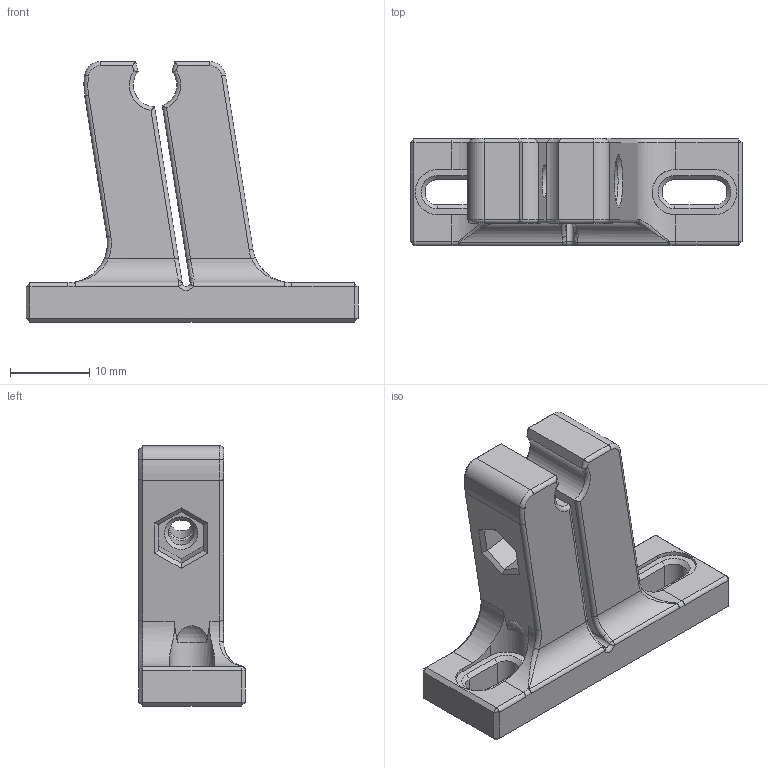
import cadquery as cq
import math

BASE_LENGTH = 42.0
BASE_DEPTH = 13.5
BASE_HEIGHT = 5.0
EDGE_BREAK = 0.5
CHAMFER_TAPER_DEG = 45

LEAN_DEG = 8.95
AXIS_FOOT_X = 0.05
POST_HALF_WIDTH = 9.0
POST_DEPTH = 10.75
TOTAL_HEIGHT = 32.95
CROWN_RADIUS = 2.0
SIDE_FILLET = 5.0
FRONT_FILLET = 3.0

BORE_HEIGHT = 30.0
BORE_RADIUS = 2.75
MOUTH_HALF_WIDTH = 2.15
MOUTH_FLARE_DEG = 15.0
SLIT_WIDTH = 1.0

SCREW_POSITION = 22.95
SCREW_DIAMETER = 3.2
NUT_SIDES = 6
NUT_ACROSS_FLATS = 5.7
NUT_DEPTH = 4.0
HEAD_DIAMETER = 5.7
HEAD_DEPTH = 2.0

SLOT_OFFSET = 15.0
SLOT_TRAVEL = 5.0
SLOT_WIDTH = SCREW_DIAMETER
RECESS_WIDTH = HEAD_DIAMETER
RECESS_FLOOR = 4.5
DOME_HEIGHT = 8.0

BACK = BASE_DEPTH / 2
FRONT = -BASE_DEPTH / 2
POST_FRONT = BACK - POST_DEPTH
POST_MIDDLE = (BACK + POST_FRONT) / 2

LEAN = math.radians(LEAN_DEG)
SIDE_OFFSET = POST_HALF_WIDTH / math.cos(LEAN)
NUT_CORNER_RATIO = 1 / math.cos(math.pi / NUT_SIDES)

TINY = 0.01


def axis_x(z):
    """X of the leaning post axis at height z."""
    return AXIS_FOOT_X - z * math.tan(LEAN)


BORE_X = axis_x(BORE_HEIGHT)


def along_post(distance, across):
    """(x, z) of a point given along the post axis and to the right of it."""
    x = AXIS_FOOT_X + across * math.cos(LEAN) - distance * math.sin(LEAN)
    z = across * math.sin(LEAN) + distance * math.cos(LEAN)
    return x, z


def polar(center, radius, angle):
    """Point on a circle at the given angle."""
    return center[0] + radius * math.cos(angle), center[1] + radius * math.sin(angle)


def back_plane():
    """XZ sketch plane on the back face; extrusions run toward the front."""
    return cq.Workplane("XZ", origin=(0, BACK, 0))


def side_shape():
    """Base and leaning post as one full-depth outline, with the crown and side fillets as arcs."""
    half_base = BASE_LENGTH / 2
    bore = (BORE_X, BORE_HEIGHT)

    fillet_z = BASE_HEIGHT + SIDE_FILLET
    fillet_reach = SIDE_OFFSET + SIDE_FILLET / math.cos(LEAN)
    right_fillet = (axis_x(fillet_z) + fillet_reach, fillet_z)
    left_fillet = (axis_x(fillet_z) - fillet_reach, fillet_z)
    right_mid_angle = (math.pi + LEAN + 1.5 * math.pi) / 2
    left_mid_angle = (LEAN - math.pi / 2) / 2

    crown_z = TOTAL_HEIGHT - CROWN_RADIUS
    right_crown = (axis_x(crown_z) + SIDE_OFFSET - CROWN_RADIUS / math.cos(LEAN), crown_z)
    crown_rise = crown_z - BORE_HEIGHT
    crown_reach = math.sqrt((POST_HALF_WIDTH - CROWN_RADIUS) ** 2 - crown_rise**2)
    left_crown = (BORE_X - crown_reach, crown_z)
    shoulder_end = math.atan2(crown_rise, -crown_reach)
    shoulder_start = math.pi + LEAN

    return (
        back_plane()
        .moveTo(-half_base, 0)
        .lineTo(half_base, 0)
        .lineTo(half_base, BASE_HEIGHT)
        .lineTo(right_fillet[0], BASE_HEIGHT)
        .threePointArc(
            polar(right_fillet, SIDE_FILLET, right_mid_angle),
            polar(right_fillet, SIDE_FILLET, math.pi + LEAN),
        )
        .lineTo(*polar(right_crown, CROWN_RADIUS, LEAN))
        .threePointArc(
            polar(right_crown, CROWN_RADIUS, (LEAN + math.pi / 2) / 2),
            (right_crown[0], TOTAL_HEIGHT),
        )
        .lineTo(left_crown[0], TOTAL_HEIGHT)
        .threePointArc(
            polar(left_crown, CROWN_RADIUS, (math.pi / 2 + shoulder_end) / 2),
            polar(left_crown, CROWN_RADIUS, shoulder_end),
        )
        .threePointArc(
            polar(bore, POST_HALF_WIDTH, (shoulder_end + shoulder_start) / 2),
            polar(bore, POST_HALF_WIDTH, shoulder_start),
        )
        .lineTo(*polar(left_fillet, SIDE_FILLET, LEAN))
        .threePointArc(
            polar(left_fillet, SIDE_FILLET, left_mid_angle),
            (left_fillet[0], BASE_HEIGHT),
        )
        .lineTo(-half_base, BASE_HEIGHT)
        .close()
        .extrude(BASE_DEPTH)
    )


def depth_envelope():
    """Full base depth below, post depth above, joined by the front fillet."""
    center = (POST_FRONT - FRONT_FILLET, BASE_HEIGHT + FRONT_FILLET)
    end_angle = -math.acos((FRONT - center[0]) / FRONT_FILLET)
    return (
        cq.Workplane("YZ", origin=(-BASE_LENGTH / 2, 0, 0))
        .moveTo(BACK, 0)
        .lineTo(FRONT, 0)
        .lineTo(*polar(center, FRONT_FILLET, end_angle))
        .threePointArc(
            polar(center, FRONT_FILLET, end_angle / 2),
            polar(center, FRONT_FILLET, 0),
        )
        .lineTo(POST_FRONT, TOTAL_HEIGHT)
        .lineTo(BACK, TOTAL_HEIGHT)
        .close()
        .extrude(BASE_LENGTH)
    )


def rod_clamp_opening():
    """Rod bore, its flared mouth and the round-ended slit down to the base."""
    bore = back_plane().center(BORE_X, BORE_HEIGHT).circle(BORE_RADIUS).extrude(BASE_DEPTH)
    mouth_z = math.sqrt(BORE_RADIUS**2 - MOUTH_HALF_WIDTH**2)
    mouth_top = TOTAL_HEIGHT - BORE_HEIGHT
    flare_slope = math.tan(math.radians(MOUTH_FLARE_DEG))
    top_half_width = MOUTH_HALF_WIDTH + (mouth_top - mouth_z) * flare_slope
    mouth = (
        back_plane()
        .center(BORE_X, BORE_HEIGHT)
        .polyline(
            [
                (0, 0),
                (MOUTH_HALF_WIDTH, mouth_z),
                (top_half_width, mouth_top),
                (-top_half_width, mouth_top),
                (-MOUTH_HALF_WIDTH, mouth_z),
            ]
        )
        .close()
        .extrude(BASE_DEPTH)
    )
    half_slit = SLIT_WIDTH / 2
    bottom = BASE_HEIGHT / math.cos(LEAN)
    top = BORE_HEIGHT / math.cos(LEAN)
    slit = (
        back_plane()
        .moveTo(*along_post(top, -half_slit))
        .lineTo(*along_post(bottom, -half_slit))
        .threePointArc(along_post(bottom - half_slit, 0), along_post(bottom, half_slit))
        .lineTo(*along_post(top, half_slit))
        .close()
        .extrude(BASE_DEPTH)
    )
    return bore.union(mouth).union(slit)


def is_front_outline(edge):
    """Edges bounding the front of the post and the front of the base top."""
    box = edge.BoundingBox()
    in_front = box.ymax < POST_FRONT + TINY and box.zmin > BASE_HEIGHT - EDGE_BREAK - TINY
    fillet_top = BASE_HEIGHT + FRONT_FILLET
    is_fillet_seam = abs(box.zmin - fillet_top) < TINY and abs(box.zmax - fillet_top) < TINY
    return in_front and not is_fillet_seam


def is_back_or_base_end(edge):
    """Edges of the back and bottom faces and of both base ends, without the rounded front top edge."""
    box = edge.BoundingBox()
    on_back = box.ymin > BACK - TINY
    on_bottom = box.zmax < TINY
    on_end = box.xmax < -BASE_LENGTH / 2 + TINY or box.xmin > BASE_LENGTH / 2 - TINY
    is_rounding_end = edge.geomType() == "CIRCLE"
    return on_back or on_bottom or (on_end and not is_rounding_end)


def break_edges(body):
    """Round the front outline, then chamfer the back, bottom and base ends."""
    solid = body.val()
    rounded = solid.fillet(EDGE_BREAK, [edge for edge in body.edges().vals() if is_front_outline(edge)])
    edges = [edge for edge in rounded.Edges() if is_back_or_base_end(edge)]
    return cq.Workplane(rounded.Solids()[0].chamfer(EDGE_BREAK, None, edges))


def screw_plane(across):
    """Plane square to the clamp screw, facing right; its local x runs up the post."""
    x, z = along_post(SCREW_POSITION, across)
    post_direction = (-math.sin(LEAN), 0, math.cos(LEAN))
    screw_direction = (math.cos(LEAN), 0, math.sin(LEAN))
    return cq.Workplane(cq.Plane((x, POST_MIDDLE, z), post_direction, screw_direction))


def hole_chamfer(across, diameter, length):
    """Cone widening a hole edge at the given place; a negative length points left."""
    return screw_plane(across).circle(diameter / 2 + EDGE_BREAK).extrude(length, taper=CHAMFER_TAPER_DEG)


def clamp_screw_hole():
    """Nut pocket on the left, screw head counterbore on the right, screw hole between."""
    left = -POST_HALF_WIDTH
    right = POST_HALF_WIDTH
    nut_diameter = NUT_ACROSS_FLATS * NUT_CORNER_RATIO
    mouth_diameter = (NUT_ACROSS_FLATS + 2 * EDGE_BREAK) * NUT_CORNER_RATIO
    return (
        screw_plane(left)
        .circle(SCREW_DIAMETER / 2)
        .extrude(2 * POST_HALF_WIDTH)
        .union(screw_plane(left).polygon(NUT_SIDES, nut_diameter).extrude(NUT_DEPTH))
        .union(screw_plane(left).polygon(NUT_SIDES, mouth_diameter).extrude(EDGE_BREAK, taper=CHAMFER_TAPER_DEG))
        .union(hole_chamfer(left + NUT_DEPTH, SCREW_DIAMETER, EDGE_BREAK))
        .union(hole_chamfer(-SLIT_WIDTH / 2, SCREW_DIAMETER, -EDGE_BREAK))
        .union(hole_chamfer(SLIT_WIDTH / 2, SCREW_DIAMETER, EDGE_BREAK))
        .union(screw_plane(right).circle(HEAD_DIAMETER / 2).extrude(-HEAD_DEPTH))
        .union(hole_chamfer(right, HEAD_DIAMETER, -EDGE_BREAK))
    )


def stadium(x, z, width):
    """Sketch of a slot along X, centred on the base depth."""
    return cq.Workplane("XY", origin=(x, 0, z)).slot2D(SLOT_TRAVEL + width, width)


def mounting_slot(x):
    """Through slot with a chamfered edge in the floor of a shallow recess."""
    recess = stadium(x, RECESS_FLOOR, RECESS_WIDTH).extrude(BASE_HEIGHT - RECESS_FLOOR)
    chamfer_width = SLOT_WIDTH + 2 * EDGE_BREAK
    chamfer = stadium(x, RECESS_FLOOR, chamfer_width).extrude(-EDGE_BREAK, taper=CHAMFER_TAPER_DEG)
    return stadium(x, 0, SLOT_WIDTH).extrude(BASE_HEIGHT).union(recess).union(chamfer)


def post_core():
    """The leaning post as a plain slab without its side fillets."""
    return (
        back_plane()
        .polyline(
            [
                (AXIS_FOOT_X - SIDE_OFFSET, 0),
                (AXIS_FOOT_X + SIDE_OFFSET, 0),
                (axis_x(TOTAL_HEIGHT) + SIDE_OFFSET, TOTAL_HEIGHT),
                (axis_x(TOTAL_HEIGHT) - SIDE_OFFSET, TOTAL_HEIGHT),
            ]
        )
        .close()
        .extrude(BASE_DEPTH)
    )


def screw_head_clearance(x):
    """Room above a slot: cut through the side fillet, and into the post only up to a dome."""
    above_fillet = 2 * SIDE_FILLET
    through_fillet = stadium(x, BASE_HEIGHT, RECESS_WIDTH).extrude(above_fillet).cut(post_core())
    inner_end = x - math.copysign(SLOT_TRAVEL / 2, x)
    into_post = stadium(x, BASE_HEIGHT, RECESS_WIDTH).extrude(DOME_HEIGHT - BASE_HEIGHT)
    dome = cq.Workplane("XY", origin=(inner_end, 0, DOME_HEIGHT)).sphere(RECESS_WIDTH / 2)
    return through_fillet.union(into_post).union(dome)


body = side_shape().intersect(depth_envelope()).cut(rod_clamp_opening())
result = break_edges(body).cut(clamp_screw_hole())
for slot_x in (-SLOT_OFFSET, SLOT_OFFSET):
    result = result.cut(mounting_slot(slot_x)).cut(screw_head_clearance(slot_x))